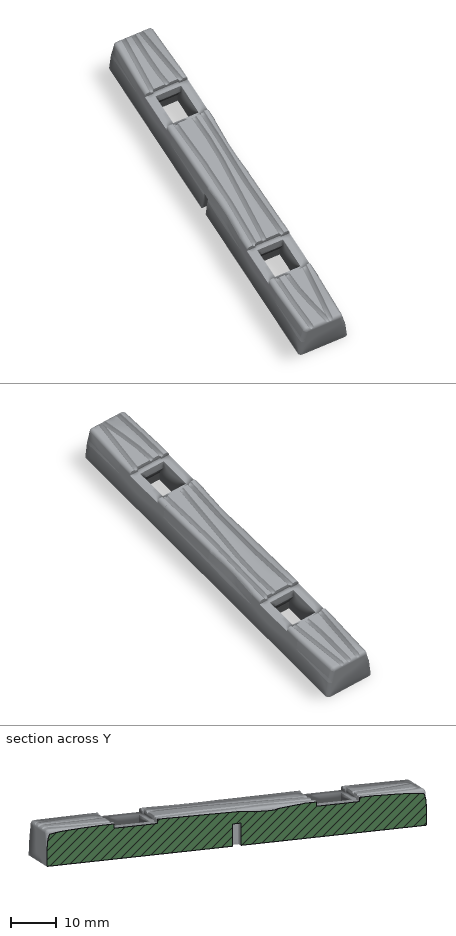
import cadquery as cq
import math

LENGTH = 89.8
BASE_WIDTH = 12.0
HEIGHT = 8.2
SIDE_ANGLE = math.radians(6.0)
EDGE_RADIUS = 0.8

SEAT_OFFSET = 23.9
SEAT_LENGTH = 10.1
SEAT_DEPTH = 1.1
INNER_SEAT_LENGTH = 10.8
WINDOW_LENGTH = 8.3
WINDOW_WIDTH = 6.3
WINDOW_THROAT = 2.1
FLARE_HEIGHT = 2.9
FLARE_REACH = 1.5

SLOT_WIDTH = 1.9
SLOT_HEIGHT = 5.0
SLOT_DEPTH = 2.25

LEDGE_HEIGHT = 4.85
LEDGE_HALF_RISE = 0.5
LEDGE_INSET = 0.2
TOP_INSET = 0.5
PANEL_CLEARANCE = 1.8

END_PANEL = [(32.7, 0.1), (LENGTH / 2, 1.0)]
PLAIN_MIDDLE_PANEL = [(0.0, 0.6), (16.25, 0.1)]
PEAKED_MIDDLE_PANEL = [(-16.0, 0.1), (-6.7, 1.0), (0.0, 0.45)]

GROOVE_WIDTH = 1.2
GROOVE_FLANK_DEPTH = 0.3
GROOVE_BOTTOM_WIDTH = 0.8
GROOVE_DEPTH = 0.45
GROOVE_CLEARANCE = 0.45

GRAIN_LINES = [
    [(-45.8, 1.8), (-28.7, 3.6)],
    [(-45.8, 0.0), (-40.4, 0.0), (-34.1, 0.0), (-28.7, 0.45)],
    [(-45.8, -2.25), (-28.7, -3.5)],
    [(-19.8, 3.4), (-12.6, 3.4), (0.0, 3.05), (10.8, 3.1), (19.8, 3.4)],
    [(-19.8, 1.2), (-12.6, 1.4), (0.0, 0.8), (19.8, -0.9)],
    [(-19.8, -3.2), (0.0, -2.6), (19.8, -3.3)],
    [(28.7, 3.6), (45.8, 1.7)],
    [(28.7, -0.8), (35.0, -0.45), (41.3, 0.5), (45.8, 1.35)],
    [(28.7, -3.3), (36.8, -3.2), (45.8, -2.8)],
]


def half_width(z):
    """Half width of the tapered body at height z."""
    return BASE_WIDTH / 2 - z * math.tan(SIDE_ANGLE)


def rounded_corner(inset_low, z_low, inset_top):
    """Start, middle and end (y, z) of the top edge round on a side leaning between two insets."""
    y_low = half_width(z_low) - inset_low
    y_top = half_width(HEIGHT) - inset_top
    lean = math.atan2(y_low - y_top, HEIGHT - z_low)
    tangent = EDGE_RADIUS * math.tan((math.pi / 2 - lean) / 2)
    center_y = y_top - tangent
    center_z = HEIGHT - EDGE_RADIUS

    def on_arc(angle):
        return (center_y + EDGE_RADIUS * math.cos(angle), center_z + EDGE_RADIUS * math.sin(angle))

    return on_arc(lean), on_arc((lean + math.pi / 2) / 2), on_arc(math.pi / 2)


def make_body():
    """Tapered bar with its two long top edges rounded."""
    start, middle, end = rounded_corner(0, 0, 0)
    return (
        cq.Workplane("YZ", origin=(-LENGTH / 2, 0, 0))
        .moveTo(-BASE_WIDTH / 2, 0)
        .lineTo(BASE_WIDTH / 2, 0)
        .lineTo(*start)
        .threePointArc(middle, end)
        .lineTo(-end[0], end[1])
        .threePointArc((-middle[0], middle[1]), (-start[0], start[1]))
        .close()
        .extrude(LENGTH)
    )


def panel_section(x, wear):
    """Closed section of the material removed from the +Y side at one station."""
    z_outer = LEDGE_HEIGHT - LEDGE_HALF_RISE * wear
    z_inner = LEDGE_HEIGHT + LEDGE_HALF_RISE * wear
    inset = LEDGE_INSET * wear
    y_outer = half_width(z_outer)
    y_inner = half_width(z_inner) - inset
    start, middle, end = rounded_corner(inset, z_inner, TOP_INSET * wear)
    y_far = BASE_WIDTH / 2 + PANEL_CLEARANCE
    z_far = HEIGHT + PANEL_CLEARANCE
    return (
        cq.Workplane("YZ", origin=(x, 0, 0))
        .moveTo(y_inner, z_inner)
        .lineTo(*start)
        .threePointArc(middle, end)
        .lineTo(end[0], z_far)
        .lineTo(y_far, z_far)
        .lineTo(y_far, z_outer)
        .lineTo(y_outer, z_outer)
        .close()
        .wire()
        .val()
    )


def make_panel(stations):
    """Straight loft between two stations, or a smooth blend through more."""
    sections = [panel_section(x, wear) for x, wear in stations]
    straight = len(sections) == 2
    return cq.Workplane(cq.Solid.makeLoft(sections, straight))


def cut_panels(body):
    """The +Y and -Y sides carry the same panels, turned half a turn about Z."""
    opposite_end_panel = [(-x, wear) for x, wear in reversed(END_PANEL)]
    for stations in (END_PANEL, opposite_end_panel, PLAIN_MIDDLE_PANEL, PEAKED_MIDDLE_PANEL):
        panel = make_panel(stations)
        body = body.cut(panel).cut(panel.rotate((0, 0, 0), (0, 0, 1), 180))
    return body


def round_ends(body):
    """Round the ends all around except along the flat underside."""
    above_underside = cq.selectors.BoxSelector(
        (-LENGTH, -BASE_WIDTH, EDGE_RADIUS / 2),
        (LENGTH, BASE_WIDTH, 2 * HEIGHT),
    )
    for side in (">X", "<X"):
        body = body.faces(side).edges(above_underside).fillet(EDGE_RADIUS)
    return body


def cut_seat(body, x):
    """Sink one seat across the top and open its window right through the body."""
    floor = HEIGHT - SEAT_DEPTH
    plane = cq.Workplane("XY", origin=(x, 0, floor))
    seat = plane.rect(SEAT_LENGTH, 2 * BASE_WIDTH).extrude(HEIGHT)
    inner_seat = plane.rect(INNER_SEAT_LENGTH, WINDOW_WIDTH).extrude(HEIGHT)
    throat_x = WINDOW_LENGTH / 2
    mouth_x = throat_x + FLARE_REACH
    throat_z = floor - WINDOW_THROAT
    mouth_z = throat_z - FLARE_HEIGHT
    window = (
        cq.Workplane("XZ", origin=(x, WINDOW_WIDTH / 2, 0))
        .polyline([
            (-mouth_x, 0), (mouth_x, 0), (mouth_x, mouth_z), (throat_x, throat_z), (throat_x, HEIGHT),
            (-throat_x, HEIGHT), (-throat_x, throat_z), (-mouth_x, mouth_z),
        ])
        .close()
        .extrude(WINDOW_WIDTH)
    )
    return body.cut(seat).cut(inner_seat).cut(window)


def cut_slot(body):
    """Cut the slot upward from the underside into the -Y side."""
    slot = cq.Workplane("XY").box(SLOT_WIDTH, 2 * SLOT_DEPTH, SLOT_HEIGHT, centered=(True, True, False))
    return body.cut(slot.translate((0, -BASE_WIDTH / 2, 0)))


def make_groove(points):
    """Material removed along one straight or curved grain line."""
    path = cq.Workplane("XY", origin=(0, 0, HEIGHT))
    path = path.polyline(points) if len(points) == 2 else path.spline(points)
    return (
        cq.Workplane("YZ", origin=(points[0][0], points[0][1], HEIGHT))
        .moveTo(-GROOVE_WIDTH / 2, GROOVE_CLEARANCE)
        .lineTo(-GROOVE_WIDTH / 2, 0)
        .lineTo(-GROOVE_BOTTOM_WIDTH / 2, -GROOVE_FLANK_DEPTH)
        .threePointArc((0, -GROOVE_DEPTH), (GROOVE_BOTTOM_WIDTH / 2, -GROOVE_FLANK_DEPTH))
        .lineTo(GROOVE_WIDTH / 2, 0)
        .lineTo(GROOVE_WIDTH / 2, GROOVE_CLEARANCE)
        .close()
        .sweep(path)
    )


result = round_ends(cut_panels(make_body()))
for line in GRAIN_LINES:
    result = result.cut(make_groove(line))
for seat_x in (-SEAT_OFFSET, SEAT_OFFSET):
    result = cut_seat(result, seat_x)
result = cut_slot(result)